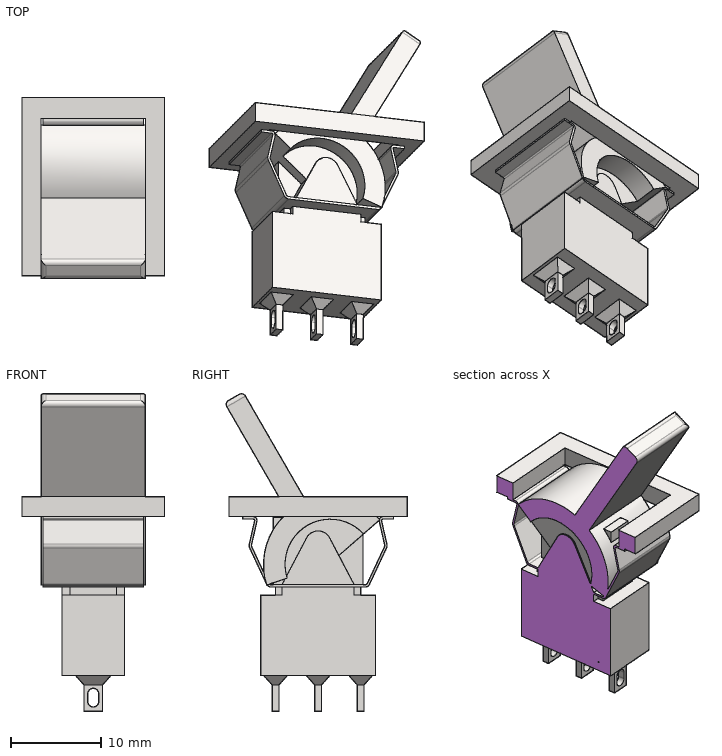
import cadquery as cq
import math


frame_x = 15.8
frame_y = 19.73
frame_height = 2.2
opening_x = 11.55
opening_y = 15.03

body_x = 6.9
body_y = 12.7
body_top = -8.67
body_bottom = -17.6
neck_x = 5.2
neck_y = 9.45

terminal_pitch = 4.7
terminal_x = 2.07
terminal_y = 0.77
terminal_bottom = -21.52
flare_height = 1.02
flare_growth = 1.83
eyelet_width = 1.2
eyelet_length = 2.05
eyelet_above_tip = 1.5

sheet = 0.28
clip_x = 11.13
clip_floor = -7.5
clip_floor_y = 10.75
clip_kink_y = 14.75
clip_kink_z = -3.23
clip_throat_y = 13.27
clip_flange_y = 16.7
clip_bend = 0.42
clip_floor_bend = 0.28

support_base_y = 7.97
support_tip_radius = 1.45
support_tip_z = -3.02

block_x = 2.95
block_y = 9.95
block_top = -0.07

pivot_y = 1.35
pivot_z = -5.25
tilt = 30.0
rim_outer = 7.37
rim_inner = 5.0
end_face_angle = 79.0
end_face_apex = 0.1
web_x = 6.32
lever_thickness = 2.4
lever_reach = 21.3
lever_round = 0.53


def block(size_x, size_y, z_low, z_high):
    """Box centred on the Z axis between two heights."""
    return (
        cq.Workplane("XY", origin=(0, 0, z_low))
        .rect(size_x, size_y)
        .extrude(z_high - z_low)
    )


def bezel_frame():
    outer = block(frame_x, frame_y, 0, frame_height)
    return outer.cut(block(opening_x, opening_y, 0, frame_height))


def switch_body():
    body = block(body_x, body_y, body_bottom, body_top)
    wide_neck = block(body_x, support_base_y, body_top, clip_floor)
    long_neck = block(neck_x, neck_y, body_top, clip_floor)
    return body.union(wide_neck).union(long_neck)


def terminal(y):
    flare_bottom = body_bottom - flare_height
    flare = (
        cq.Workplane("XY", origin=(0, y, body_bottom))
        .rect(terminal_x + flare_growth, terminal_y + flare_growth)
        .workplane(offset=-flare_height)
        .rect(terminal_x, terminal_y)
        .loft(ruled=True)
    )
    blade = block(terminal_x, terminal_y, terminal_bottom, flare_bottom).translate((0, y, 0))
    eyelet = (
        cq.Workplane("XZ", origin=(0, y, terminal_bottom + eyelet_above_tip))
        .slot2D(eyelet_length, eyelet_width, 90)
        .extrude(terminal_y, both=True)
    )
    return flare.union(blade.cut(eyelet))


def spring_clip():
    """Sheet that follows the outside of a trough, with flanges under the frame."""
    half_profile = [
        (clip_floor_y / 2, clip_floor),
        (clip_kink_y / 2, clip_kink_z),
        (clip_throat_y / 2, 0),
        (frame_y / 2, 0),
        (frame_y / 2, frame_height),
    ]
    mirrored = [(-y, z) for y, z in reversed(half_profile)]
    trough = (
        cq.Workplane("YZ", origin=(-clip_x / 2, 0, 0))
        .polyline(half_profile + mirrored)
        .close()
        .extrude(clip_x)
    )
    trough = trough.faces("<Z").edges("|X").fillet(clip_floor_bend)
    bend_zone = cq.selectors.BoxSelector(
        (-clip_x, -clip_kink_y, clip_kink_z - sheet),
        (clip_x, clip_kink_y, sheet),
    )
    trough = trough.edges("|X").edges(bend_zone).fillet(clip_bend)
    covered = trough.faces("<X").wires().toPending().offset2D(sheet).extrude(clip_x)
    limits = block(clip_x, clip_flange_y, clip_floor - sheet, 0)
    return covered.cut(trough).intersect(limits)


def pivot_support():
    half_base = support_base_y / 2
    rise = support_tip_z - clip_floor
    to_centre = math.hypot(half_base, rise)
    touch = math.acos(support_tip_radius / to_centre) - math.atan2(rise, half_base)
    touch_y = support_tip_radius * math.cos(touch)
    touch_z = support_tip_z + support_tip_radius * math.sin(touch)
    return (
        cq.Workplane("YZ")
        .moveTo(-half_base, clip_floor)
        .lineTo(half_base, clip_floor)
        .lineTo(touch_y, touch_z)
        .threePointArc((0, support_tip_z + support_tip_radius), (-touch_y, touch_z))
        .close()
        .extrude(body_x / 2, both=True)
    )


def sector(radius, width):
    """Slice of a cylinder about the pivot, between two end faces tilted about X."""
    reach = 2 * radius
    side_height = end_face_apex + reach / math.tan(math.radians(end_face_angle))
    between_ends = (
        cq.Workplane("YZ")
        .polyline(
            [
                (0, end_face_apex),
                (reach, side_height),
                (reach, reach),
                (-reach, reach),
                (-reach, side_height),
            ]
        )
        .close()
        .extrude(width / 2, both=True)
    )
    cylinder = cq.Workplane("YZ").circle(radius).extrude(width / 2, both=True)
    return cylinder.intersect(between_ends)


def rocker():
    """Rim, recessed web and lever, modelled upright and then tilted."""
    rim = sector(rim_outer, opening_x).cut(sector(rim_inner, opening_x))
    lever = block(opening_x, lever_thickness, rim_inner, lever_reach)
    lever = lever.faces(">Z").edges().fillet(lever_round)
    upright = rim.union(sector(rim_inner, web_x)).union(lever)
    return upright.rotate((0, 0, 0), (1, 0, 0), tilt).translate((0, pivot_y, pivot_z))


result = bezel_frame().union(switch_body())
for row in (-1, 0, 1):
    result = result.union(terminal(row * terminal_pitch))
for feature in (
    pivot_support(),
    block(block_x, block_y, clip_floor, block_top),
    rocker(),
    spring_clip(),
):
    result = result.union(feature)